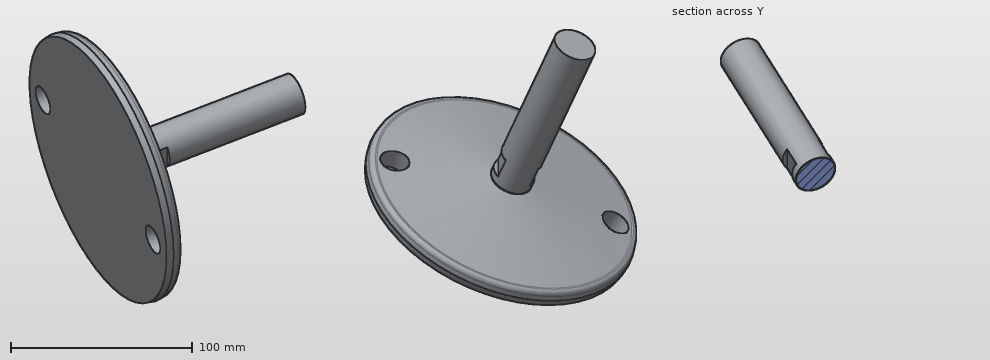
import cadquery as cq
import math

disc_radius = 79.0
face_radius = 78.2
widest_y = 4.1
shoulder_radius = 78.5
shoulder_y = 7.1
shoulder_round = 2.8
cone_start_radius = 74.7
cone_start_y = shoulder_y + shoulder_round

stem_diameter = 24.0
stem_radius = stem_diameter / 2
neck_radius = 11.7
cone_top_y = 20.7
stem_start_y = 21.2
cone_angle = math.atan2(cone_top_y - cone_start_y, cone_start_radius - neck_radius)
stem_end_y = 124.0

flat_start_y = 26.0
flat_length = 12.5
across_flats = 19.0

hole_diameter = 16.5
hole_offset = 62.7
hole_length = 63.2


def make_disc():
    """Revolved disc with a bulging rim, a rounded shoulder and a conical back ending in a neck."""
    land_radius = shoulder_radius - shoulder_round
    arc_middle = (
        land_radius + shoulder_round * math.sin(math.pi / 4),
        shoulder_y + shoulder_round * math.sin(math.pi / 4),
    )
    return (
        cq.Workplane("XY")
        .lineTo(face_radius, 0)
        .lineTo(disc_radius, widest_y)
        .lineTo(shoulder_radius, shoulder_y)
        .threePointArc(arc_middle, (land_radius, cone_start_y))
        .lineTo(cone_start_radius, cone_start_y)
        .lineTo(neck_radius, cone_top_y)
        .lineTo(neck_radius, stem_start_y)
        .lineTo(0, stem_start_y)
        .close()
        .revolve(360, (0, 0, 0), (0, 1, 0))
    )


def make_stem():
    """Round stem along +Y with two opposite wrench flats."""
    stem = (
        cq.Workplane("XZ", origin=(0, stem_start_y, 0))
        .circle(stem_radius)
        .extrude(stem_start_y - stem_end_y)
    )
    for side in (-1, 1):
        cutter = (
            cq.Workplane("XY")
            .box(stem_diameter, flat_length, stem_diameter)
            .translate((side * (across_flats + stem_diameter) / 2, flat_start_y + flat_length / 2, 0))
        )
        stem = stem.cut(cutter)
    return stem


def make_hole(side):
    """Cylinder leaning outward so that it meets the cone squarely."""
    direction = cq.Vector(side * math.sin(cone_angle), math.cos(cone_angle), 0)
    start = cq.Vector(side * hole_offset, 0, 0) - direction * (hole_length / 2)
    return cq.Solid.makeCylinder(hole_diameter / 2, hole_length, start, direction)


result = make_disc().union(make_stem())
for side in (-1, 1):
    result = result.cut(make_hole(side))